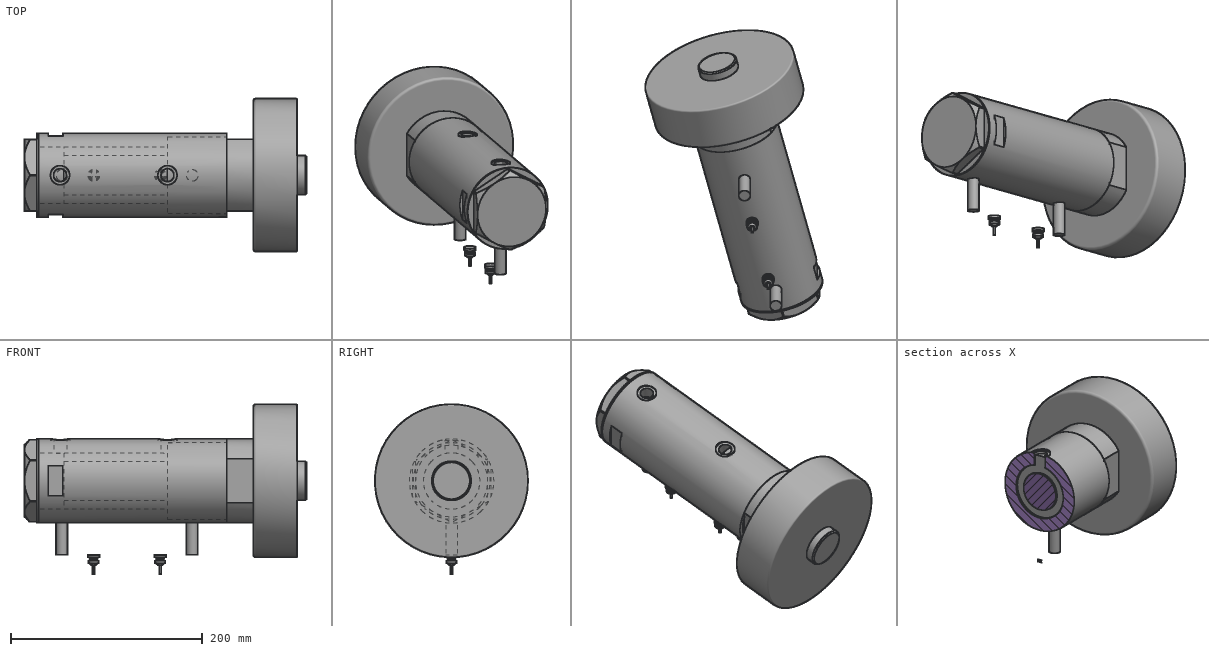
import cadquery as cq

TOTAL_LENGTH = 294.3
TOTAL_HEIGHT = 177.5
BARREL_DIAMETER = 88.0
BARREL_RADIUS = BARREL_DIAMETER / 2

HEX_ACROSS_FLATS = 75.0
HEX_CORNER_DIAMETER = 86.0
HEX_LENGTH = 13.0
HEX_FACE_CHAMFER = (HEX_CORNER_DIAMETER - HEX_ACROSS_FLATS) / 2
COLLAR_THICKNESS = 1.8
CAP_PLUG_DIAMETER = 59.0
CAP_PLUG_END = 41.2

BARREL_START = HEX_LENGTH + COLLAR_THICKNESS
BARREL_END = 211.3
NARROW_BORE_DIAMETER = CAP_PLUG_DIAMETER
WIDE_BORE_DIAMETER = 80.0
WRENCH_POCKET_START = 25.0
WRENCH_POCKET_LENGTH = 15.0
WRENCH_POCKET_ACROSS_FLATS = 82.0
PORT_POSITIONS = (37.0, 149.2)
PORT_DIAMETER = 13.5
PORT_SPOTFACE_DIAMETER = 20.0
PORT_SPOTFACE_DEPTH = 1.5
WIDE_BORE_START = PORT_POSITIONS[1]

NECK_ACROSS_FLATS = 75.0
FLANGE_DIAMETER = 160.0
FLANGE_START = 238.7
FLANGE_END = 284.5
FLANGE_FRONT_FILLET = 3.0
FLANGE_BACK_FILLET = 1.8
ROD_DIAMETER = 41.2
ROD_END_CHAMFER = 1.5

PIN_POSITIONS = (38.8, 174.8)
PIN_DIAMETER = 12.0
PIN_BOTTOM = -77.5

STOPPER_POSITIONS = (72.0, 141.5)
STOPPER_BOTTOM = FLANGE_DIAMETER / 2 - TOTAL_HEIGHT
STOPPER_HEAD_DIAMETER = 12.5
STOPPER_HEAD_HEIGHT = 2.6
STOPPER_SHOULDER_DIAMETER = 9.0
STOPPER_GROOVE_DIAMETER = 7.7
STOPPER_GROOVE_TOP = 3.8
STOPPER_GROOVE_BOTTOM = 5.0
STOPPER_RING_DIAMETER = 11.0
STOPPER_RING_TOP = 6.0
STOPPER_RING_BOTTOM = 8.5
STOPPER_CONE_BOTTOM = 10.5
STOPPER_CONE_DIAMETER = 4.7
STOPPER_STEM_DIAMETER = 2.5


def rod(start, end, diameter):
    """Cylinder on the main axis between two X positions."""
    return cq.Workplane("YZ", origin=(start, 0, 0)).circle(diameter / 2).extrude(end - start)


def slab(start, end, across_flats):
    """Block on the main axis, limited in Y by two parallel faces and taller than the barrel."""
    length = end - start
    center = ((start + end) / 2, 0, 0)
    return cq.Workplane("XY", origin=center).box(length, across_flats, 2 * BARREL_DIAMETER)


def make_end_cap():
    hexagon = cq.Workplane("YZ").polygon(6, HEX_ACROSS_FLATS, circumscribed=True).extrude(HEX_LENGTH)
    rounding = rod(0, HEX_LENGTH, HEX_CORNER_DIAMETER).faces("<X").chamfer(HEX_FACE_CHAMFER)
    collar = rod(HEX_LENGTH, BARREL_START, BARREL_DIAMETER)
    plug = rod(BARREL_START, CAP_PLUG_END, CAP_PLUG_DIAMETER)
    return hexagon.intersect(rounding).union(collar).union(plug)


def make_barrel():
    barrel = rod(BARREL_START, BARREL_END, BARREL_DIAMETER)
    pocket_end = WRENCH_POCKET_START + WRENCH_POCKET_LENGTH
    pockets = rod(WRENCH_POCKET_START, pocket_end, 2 * BARREL_DIAMETER).cut(
        slab(WRENCH_POCKET_START, pocket_end, WRENCH_POCKET_ACROSS_FLATS)
    )
    narrow_bore = rod(BARREL_START, WIDE_BORE_START, NARROW_BORE_DIAMETER)
    wide_bore = rod(WIDE_BORE_START, BARREL_END, WIDE_BORE_DIAMETER)
    barrel = barrel.cut(pockets).cut(narrow_bore).cut(wide_bore)
    for x in PORT_POSITIONS:
        axis = cq.Workplane("XY", origin=(x, 0, 0))
        port = axis.circle(PORT_DIAMETER / 2).extrude(BARREL_RADIUS)
        spotface = (
            axis.workplane(offset=BARREL_RADIUS - PORT_SPOTFACE_DEPTH)
            .circle(PORT_SPOTFACE_DIAMETER / 2)
            .extrude(2 * PORT_SPOTFACE_DEPTH)
        )
        barrel = barrel.cut(port).cut(spotface)
    return barrel


def make_flanged_head():
    neck = rod(BARREL_END, FLANGE_START, BARREL_DIAMETER).intersect(
        slab(BARREL_END, FLANGE_START, NECK_ACROSS_FLATS)
    )
    flange = (
        rod(FLANGE_START, FLANGE_END, FLANGE_DIAMETER)
        .faces("<X").edges().fillet(FLANGE_FRONT_FILLET)
        .faces(">X").edges().fillet(FLANGE_BACK_FILLET)
    )
    plug = rod(WIDE_BORE_START, BARREL_END, WIDE_BORE_DIAMETER)
    central_rod = rod(CAP_PLUG_END, TOTAL_LENGTH, ROD_DIAMETER).faces(">X").chamfer(ROD_END_CHAMFER)
    return flange.union(neck).union(plug).union(central_rod)


def make_pin(x):
    """Upright pin whose top is hollowed to sit against the barrel."""
    pin = cq.Workplane("XY", origin=(x, 0, PIN_BOTTOM)).circle(PIN_DIAMETER / 2).extrude(-PIN_BOTTOM)
    return pin.cut(rod(BARREL_START, BARREL_END, BARREL_DIAMETER))


def make_stopper(x):
    """Stopper turned about a vertical axis: head, groove, ring, cone and stem."""
    height = PIN_BOTTOM - STOPPER_BOTTOM
    outline = [
        (0, 0),
        (STOPPER_HEAD_DIAMETER / 2, 0),
        (STOPPER_HEAD_DIAMETER / 2, -STOPPER_HEAD_HEIGHT),
        (STOPPER_SHOULDER_DIAMETER / 2, -STOPPER_HEAD_HEIGHT),
        (STOPPER_GROOVE_DIAMETER / 2, -STOPPER_GROOVE_TOP),
        (STOPPER_GROOVE_DIAMETER / 2, -STOPPER_GROOVE_BOTTOM),
        (STOPPER_SHOULDER_DIAMETER / 2, -STOPPER_RING_TOP),
        (STOPPER_RING_DIAMETER / 2, -STOPPER_RING_TOP),
        (STOPPER_RING_DIAMETER / 2, -STOPPER_RING_BOTTOM),
        (STOPPER_SHOULDER_DIAMETER / 2, -STOPPER_RING_BOTTOM),
        (STOPPER_CONE_DIAMETER / 2, -STOPPER_CONE_BOTTOM),
        (STOPPER_STEM_DIAMETER / 2, -STOPPER_CONE_BOTTOM),
        (STOPPER_STEM_DIAMETER / 2, -height),
        (0, -height),
    ]
    profile = cq.Workplane("XZ", origin=(x, 0, PIN_BOTTOM)).polyline(outline).close()
    return profile.revolve(360, (0, 0, 0), (0, 1, 0))


end_cap = make_end_cap()
barrel = make_barrel()
flanged_head = make_flanged_head()
pins = [make_pin(x) for x in PIN_POSITIONS]
stoppers = [make_stopper(x) for x in STOPPER_POSITIONS]

bodies = [end_cap, barrel, flanged_head, *pins, *stoppers]
result = cq.Compound.makeCompound([body.val() for body in bodies])